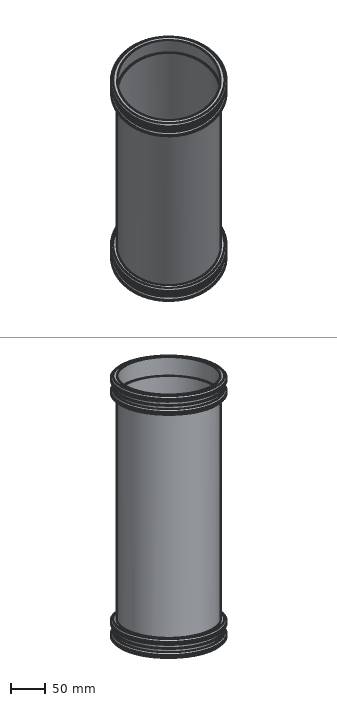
import cadquery as cq

pipe_length = 350.0
collar_height = 29.4

bore_radius = 150.0 / 2
pipe_radius = 151.8 / 2
collar_radius = 161.8 / 2
bead_radius = 168.4 / 2

bead_land = 2.34
bead_flank = bead_radius - collar_radius
bead_height = bead_land + 2 * bead_flank

ridge_height = 1.0
ridge_half_width = 0.577

pipe_end = pipe_length / 2


def bead_points(base):
    """Bead outline as (radius, height) points, from its lower to its upper edge."""
    land_start = base + bead_flank
    land_end = land_start + bead_land
    return [
        (collar_radius, base),
        (bead_radius, land_start),
        (bead_radius, land_end),
        (collar_radius, base + bead_height),
    ]


def ridge_points(middle):
    """Ridge outline as (radius, height) points."""
    return [
        (collar_radius, middle - ridge_half_width),
        (collar_radius + ridge_height, middle),
        (collar_radius, middle + ridge_half_width),
    ]


def make_collar(base):
    """Collar whose lower face lies at height `base`."""
    end = base + collar_height
    outline = [(bore_radius, base)]
    outline += bead_points(base)
    outline += ridge_points(base + collar_height / 2)
    outline += bead_points(end - bead_height)
    outline += [(bore_radius, end)]
    return cq.Workplane("XZ").polyline(outline).close().revolve(360, (0, 0, 0), (0, 1, 0))


def make_collared_pipe():
    """Pipe with the lower collar joined to its end."""
    pipe = (
        cq.Workplane("XY")
        .workplane(offset=-pipe_end)
        .circle(pipe_radius)
        .circle(bore_radius)
        .extrude(pipe_length)
    )
    return pipe.union(make_collar(-pipe_end - collar_height))


collared_pipe = make_collared_pipe()
upper_collar = make_collar(pipe_end)

result = cq.Compound.makeCompound([collared_pipe.val(), upper_collar.val()])